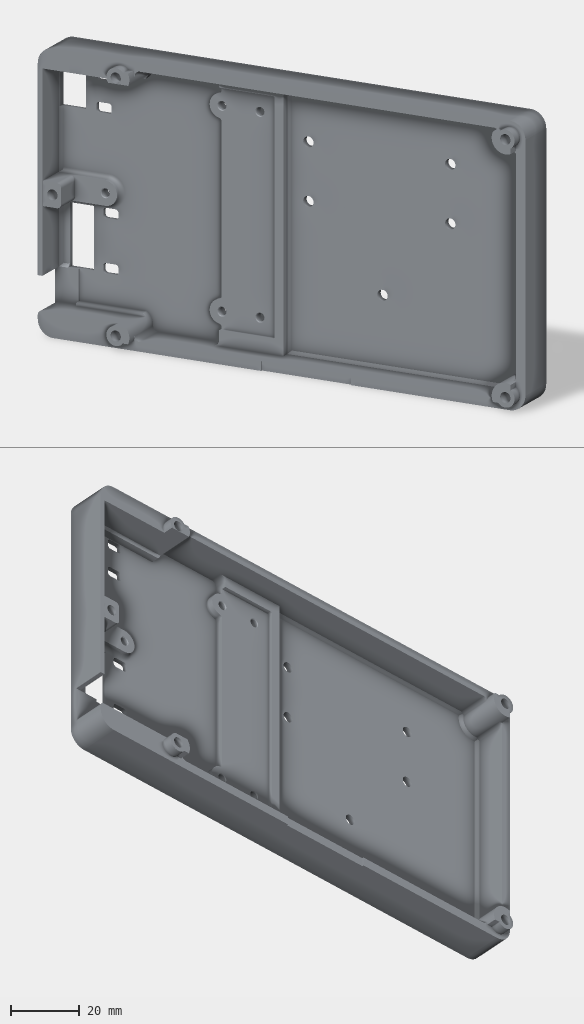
import cadquery as cq
import math

LENGTH = 159.9
HEIGHT = 88.0
RIM = 13.0
POST_TOP = 16.3
CORNER_RADIUS = 5.1

SIDE_WALL = 2.9
RIGHT_WALL = 3.0
LEFT_WALL = 1.5
CAVITY_RIGHT = LENGTH - RIGHT_WALL
CAVITY_TOP = HEIGHT - SIDE_WALL

LEFT_FLOOR = 1.5
RIGHT_FLOOR = 2.0
PANEL_FLOOR = 4.0
STEP_TOP = PANEL_FLOOR
FRAME_TOP = 5.5

PANEL_LEFT = 55.5
PANEL_RIGHT = 73.7
FRAME_RIGHT = 76.6
PANEL_CORNER = 0.6
LEFT_POCKET_CORNER = 1.8
LOBE_RADIUS = 3.8
LOBE_FILLET = 0.8
PANEL_HOLE_XS = (55.6, 68.1)
PANEL_HOLE_ZS = (13.0, 75.5)

LOWER_LEDGE = 7.7
UPPER_LEDGE = 81.4
LOWER_STEP = 8.6
UPPER_STEP = 80.0

POST_INSET = 4.8
POST_ZS = (POST_INSET, HEIGHT - POST_INSET)
LEFT_POST_X = 27.3
RIGHT_POST_X = LENGTH - POST_INSET
POST_RADIUS = 3.0
COLUMN_RADIUS = 4.5
LEFT_COLUMN_FILLET = 1.6
RIGHT_COLUMN_FILLET = 1.0
FLOOR_CHAMFER = 1.0

ARM_Z = 43.3
ARM_HALF_WIDTH = 3.8
ARM_HOLE_X = 17.5
ARM_TOP = PANEL_FLOOR
ARM_FILLET = 1.3
ARM_PAD_RIGHT = 7.5
ARM_PAD_TOP = 12.6
ARM_PAD_CORNER = 1.5
ARM_PAD_HOLE_X = 4.6

OPENING_FLOOR = 2.4
OPENING_TOP = 18.4
OPENING_DEPTH = 7.8
OPENING_ROUND = 1.3

NOTCH_LEFT = 73.2
NOTCH_RIGHT = 102.6
NOTCH_DEPTH = 0.5

CLEARANCE_DIAMETER = 3.4
SCREW_DIAMETER = 2.5
SCREW_MOUTH_DIAMETER = 3.0
SCREW_MOUTH_DEPTH = (SCREW_MOUTH_DIAMETER - SCREW_DIAMETER) / 2
BLIND_BOTTOM = 1.0
RIGHT_FLOOR_HOLES = ((83.0, 68.0), (83.0, 49.9), (129.5, 68.0), (129.5, 49.9), (107.3, 25.0))
SLOT_LENGTH = 5.0
SLOT_WIDTH = 3.2
SLOT_CORNER = 1.0
SLOTS = ((15.7, 78.2), (15.7, 68.3), (17.9, 36.5), (17.9, 19.7))

LOWER_WINDOW_LEFT = 4.5
WINDOWS = (
    (1.6, 9.8, 67.0, UPPER_STEP),
    (LOWER_WINDOW_LEFT, 12.3, OPENING_TOP, 38.0),
)


def block(left, right, low, high, bottom, top):
    """Box spanning X left..right and Z low..high, from bottom to top above the back face."""
    size = (right - left, top - bottom, high - low)
    return cq.Workplane("XY").box(*size, centered=False).translate((left, -top, low))


def sketch_plane(level):
    """XZ plane at a height above the back face, extruding toward the open side."""
    return cq.Workplane("XZ", origin=(0, -level, 0))


def disc(x, z, radius, bottom, top):
    return sketch_plane(bottom).center(x, z).circle(radius).extrude(top - bottom)


def fillet_web(x, z, radius, fillet, wall, toward, along, bottom, top):
    """Filler between a disc and a flat wall, leaving a concave fillet where they meet.

    wall is the distance from the disc centre to the wall, toward the unit direction
    to the wall, and along the unit direction in which the web runs beside the wall.
    The web reaches a fillet radius into the wall.
    """
    rise = wall - fillet
    run = math.sqrt((radius + fillet) ** 2 - rise ** 2)

    def point(run_length, rise_length):
        return (
            x + along[0] * run_length + toward[0] * rise_length,
            z + along[1] * run_length + toward[1] * rise_length,
        )

    behind = wall + fillet
    corners = [point(0, 0), point(0, behind), point(run, behind), point(run, rise)]
    web = sketch_plane(bottom).polyline(corners).close().extrude(top - bottom)
    return web.cut(disc(*point(run, rise), fillet, bottom, top))


def screw_hole(x, z, top, bottom):
    """Hole with a chamfered mouth at the height top."""
    mouth = (
        sketch_plane(top - SCREW_MOUTH_DEPTH).center(x, z).circle(SCREW_DIAMETER / 2)
        .workplane(offset=SCREW_MOUTH_DEPTH).circle(SCREW_MOUTH_DIAMETER / 2).loft()
    )
    return disc(x, z, SCREW_DIAMETER / 2, bottom, top).union(mouth)


def shell():
    """Rounded tray with the left pocket, the framed panel and the right pocket cut into it."""
    body = block(0, LENGTH, 0, HEIGHT, 0, RIM).edges("|Y").fillet(CORNER_RADIUS)
    body = body.cut(block(LEFT_WALL, CAVITY_RIGHT, SIDE_WALL, CAVITY_TOP, FRAME_TOP, RIM))
    left_pocket = block(LEFT_WALL, PANEL_LEFT, SIDE_WALL, CAVITY_TOP, LEFT_FLOOR, RIM)
    panel = block(PANEL_LEFT, PANEL_RIGHT, LOWER_LEDGE, UPPER_LEDGE, PANEL_FLOOR, RIM)
    right_pocket = block(FRAME_RIGHT, CAVITY_RIGHT, SIDE_WALL, CAVITY_TOP, RIGHT_FLOOR, RIM)
    body = body.cut(left_pocket.edges("|Y and >X").fillet(LEFT_POCKET_CORNER))
    body = body.cut(panel.edges("|Y and >X").fillet(PANEL_CORNER))
    return body.cut(right_pocket.faces(">Y").edges().chamfer(FLOOR_CHAMFER))


def panel_lobes():
    """Round lobes of the panel reaching into the left pocket around its outer holes."""
    lobes = cq.Workplane("XY")
    for z in PANEL_HOLE_ZS:
        lobes = lobes.union(disc(PANEL_LEFT, z, LOBE_RADIUS, 0, PANEL_FLOOR))
        for side in (-1, 1):
            lobes = lobes.union(fillet_web(
                PANEL_LEFT, z, LOBE_RADIUS, LOBE_FILLET, 0, (1, 0), (0, side), 0, PANEL_FLOOR,
            ))
    return lobes


def left_columns(bottom, top):
    """Both left columns, each filleted into the nearby side wall."""
    columns = cq.Workplane("XY")
    for z, outward in zip(POST_ZS, (-1, 1)):
        columns = columns.union(disc(LEFT_POST_X, z, COLUMN_RADIUS, bottom, top))
        columns = columns.union(fillet_web(
            LEFT_POST_X, z, COLUMN_RADIUS, LEFT_COLUMN_FILLET, POST_INSET - SIDE_WALL,
            (0, outward), (1, 0), bottom, top,
        ))
    return columns


def ledges():
    """Thick ledges up to the rim with a low step at their foot, ending at the columns."""
    reach = LEFT_POST_X + COLUMN_RADIUS + LEFT_COLUMN_FILLET
    levels = (
        (LEFT_WALL, LOWER_LEDGE, UPPER_LEDGE, RIM),
        (OPENING_DEPTH, LOWER_STEP, UPPER_STEP, STEP_TOP),
    )
    solid = block(LEFT_WALL, OPENING_DEPTH, UPPER_STEP, CAVITY_TOP, 0, STEP_TOP)
    for left, low_edge, high_edge, top in levels:
        columns = left_columns(0, top)
        for low, high in ((SIDE_WALL, low_edge), (high_edge, CAVITY_TOP)):
            solid = solid.union(block(left, LEFT_POST_X, low, high, 0, top))
            solid = solid.union(columns.intersect(block(LEFT_POST_X, reach, low, high, 0, top)))
    return solid


def right_columns():
    """Columns in the right corners of the right pocket, chamfered at the floor."""
    columns = cq.Workplane("XY")
    for z, outward in zip(POST_ZS, (-1, 1)):
        column = disc(RIGHT_POST_X, z, COLUMN_RADIUS, RIGHT_FLOOR, RIM)
        foot = (
            sketch_plane(RIGHT_FLOOR).center(RIGHT_POST_X, z).circle(COLUMN_RADIUS + FLOOR_CHAMFER)
            .workplane(offset=FLOOR_CHAMFER).circle(COLUMN_RADIUS).loft()
        )
        side_web = fillet_web(
            RIGHT_POST_X, z, COLUMN_RADIUS, RIGHT_COLUMN_FILLET, POST_INSET - SIDE_WALL,
            (0, outward), (-1, 0), RIGHT_FLOOR, RIM,
        )
        end_web = fillet_web(
            RIGHT_POST_X, z, COLUMN_RADIUS, RIGHT_COLUMN_FILLET, CAVITY_RIGHT - RIGHT_POST_X,
            (1, 0), (0, -outward), RIGHT_FLOOR, RIM,
        )
        columns = columns.union(column).union(foot).union(side_web).union(end_web)
    return columns.intersect(
        block(FRAME_RIGHT, CAVITY_RIGHT, SIDE_WALL, CAVITY_TOP, RIGHT_FLOOR, RIM)
    )


def posts():
    """Post tips above the rim: a pin widened by the column inside the walls, flat on the left pair."""
    tips = cq.Workplane("XY")
    for x in (LEFT_POST_X, RIGHT_POST_X):
        for z in POST_ZS:
            inner = disc(x, z, COLUMN_RADIUS, RIM, POST_TOP).intersect(
                block(LEFT_POST_X, CAVITY_RIGHT, SIDE_WALL, CAVITY_TOP, RIM, POST_TOP)
            )
            tips = tips.union(disc(x, z, POST_RADIUS, RIM, POST_TOP)).union(inner)
    return tips.cut(block(0, PANEL_LEFT, LOWER_LEDGE, UPPER_LEDGE, RIM, POST_TOP))


def arm():
    """Round-ended arm with a filleted foot and a tall pad against the left wall."""
    low = ARM_Z - ARM_HALF_WIDTH
    high = ARM_Z + ARM_HALF_WIDTH
    base = block(0, ARM_HOLE_X, low, high, 0, ARM_TOP)
    base = base.union(disc(ARM_HOLE_X, ARM_Z, ARM_HALF_WIDTH, 0, ARM_TOP))
    wide = ARM_HALF_WIDTH + ARM_FILLET
    foot_top = LEFT_FLOOR + ARM_FILLET
    skirt = block(LEFT_WALL, ARM_HOLE_X, ARM_Z - wide, ARM_Z + wide, LEFT_FLOOR, foot_top)
    skirt = skirt.union(disc(ARM_HOLE_X, ARM_Z, wide, LEFT_FLOOR, foot_top))
    for side in (-1, 1):
        groove = (
            cq.Workplane("YZ").center(-foot_top, ARM_Z + side * wide)
            .circle(ARM_FILLET).extrude(ARM_HOLE_X)
        )
        skirt = skirt.cut(groove)
    ring = cq.Solid.makeTorus(
        wide, ARM_FILLET, cq.Vector(ARM_HOLE_X, -foot_top, ARM_Z), cq.Vector(0, 1, 0)
    )
    round_end = block(ARM_HOLE_X, LENGTH, 0, HEIGHT, 0, RIM)
    skirt = skirt.cut(cq.Workplane(ring).intersect(round_end))
    pad = block(0, ARM_PAD_RIGHT, low, high, 0, ARM_PAD_TOP)
    pad = pad.edges("|Y and >X").fillet(ARM_PAD_CORNER)
    return base.union(skirt).union(pad)


def floor_chamfers():
    """Chamfers of the left floor along the left wall and along the cable opening's raised floor."""
    rise = LEFT_FLOOR + FLOOR_CHAMFER
    beside_wall = cq.Workplane("XY", origin=(0, 0, OPENING_TOP)).polyline([
        (LEFT_WALL, -LEFT_FLOOR), (LEFT_WALL + FLOOR_CHAMFER, -LEFT_FLOOR), (LEFT_WALL, -rise),
    ]).close().extrude(UPPER_STEP - OPENING_TOP)
    above_opening = cq.Workplane("YZ", origin=(LEFT_WALL, 0, 0)).polyline([
        (-LEFT_FLOOR, OPENING_TOP), (-LEFT_FLOOR, OPENING_TOP + FLOOR_CHAMFER), (-rise, OPENING_TOP),
    ]).close().extrude(LOWER_WINDOW_LEFT - LEFT_WALL)
    return beside_wall.union(above_opening)


def cable_opening():
    """Opening through the left wall, rounded over at the ledge below it."""
    cut = block(0, LEFT_WALL, LOWER_LEDGE, OPENING_TOP, OPENING_FLOOR, RIM)
    corner = block(0, OPENING_ROUND, LOWER_LEDGE - OPENING_ROUND, LOWER_LEDGE, OPENING_FLOOR, RIM)
    rounding = disc(OPENING_ROUND, LOWER_LEDGE - OPENING_ROUND, OPENING_ROUND, OPENING_FLOOR, RIM)
    return cut.union(corner.cut(rounding))


def through_cuts():
    """Windows, tie slots and clearance holes through the whole depth."""
    cuts = cq.Workplane("XY")
    for left, right, low, high in WINDOWS:
        cuts = cuts.union(block(left, right, low, high, 0, RIM))
    slot = sketch_plane(0).pushPoints(SLOTS).rect(SLOT_LENGTH, SLOT_WIDTH).extrude(PANEL_FLOOR)
    cuts = cuts.union(slot.edges("|Y").fillet(SLOT_CORNER))
    round_holes = [(x, z) for x in (LEFT_POST_X, RIGHT_POST_X) for z in POST_ZS]
    round_holes += [(ARM_PAD_HOLE_X, ARM_Z), *RIGHT_FLOOR_HOLES]
    for x, z in round_holes:
        cuts = cuts.union(disc(x, z, CLEARANCE_DIAMETER / 2, 0, POST_TOP))
    return cuts


def screw_holes():
    """Through holes at the arm and lobes, blind holes on the panel."""
    holes = screw_hole(ARM_HOLE_X, ARM_Z, ARM_TOP, 0)
    for z in PANEL_HOLE_ZS:
        for x, bottom in zip(PANEL_HOLE_XS, (0, BLIND_BOTTOM)):
            holes = holes.union(screw_hole(x, z, PANEL_FLOOR, bottom))
    return holes


result = shell().union(panel_lobes()).union(ledges()).union(right_columns())
result = result.union(posts()).union(arm()).union(floor_chamfers())
result = result.union(block(0, OPENING_DEPTH, LOWER_LEDGE, OPENING_TOP, 0, OPENING_FLOOR))
result = result.cut(cable_opening()).cut(through_cuts()).cut(screw_holes())
result = result.cut(block(NOTCH_LEFT, NOTCH_RIGHT, 0, SIDE_WALL, RIM - NOTCH_DEPTH, RIM))